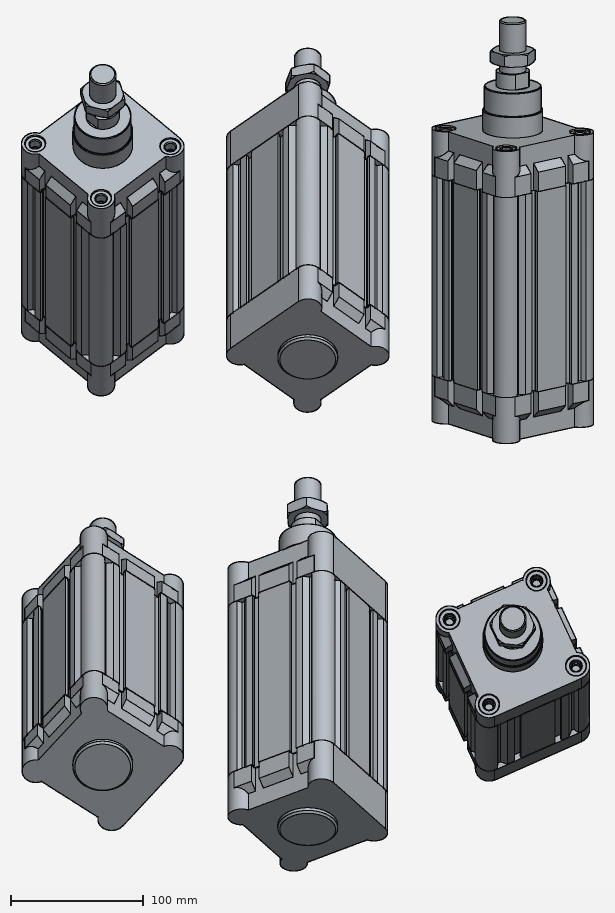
import cadquery as cq
import math

TOTAL_HEIGHT = 318
WIDTH = 93.0
HALF_WIDTH = WIDTH / 2

REAR_CAP_BOTTOM = 4.0
CAP_HEIGHT = 36.0
FRONT_CAP_TOP = 232
COLLAR_STEP_Z = 248.7
COLLAR_TOP = 266.8
ROD_SHOULDER_Z = 278.5
NUT_BOTTOM = 285.2
NUT_HEIGHT = 9.5

REAR_CAP_TOP = REAR_CAP_BOTTOM + CAP_HEIGHT
FRONT_CAP_BOTTOM = FRONT_CAP_TOP - CAP_HEIGHT

CAP_CORE_HALF = 40.7
BOSS_DIAMETER = 20.7
BOSS_OFFSET = 36.0
PAD_HEIGHT = 15.3
PAD_DEPTH = HALF_WIDTH - CAP_CORE_HALF
CENTRE_PAD_HALF = 13.5
SIDE_PAD_INNER = 20.5
SIDE_PAD_OUTER = BOSS_OFFSET

SCREW_RECESS_DIAMETER = 16
SCREW_RECESS_FLOOR_DIAMETER = 15.0
SCREW_RECESS_DEPTH = 1.0
SOCKET_RIM_DIAMETER = 9.5
SOCKET_DIAMETER = 8.0
SOCKET_DEPTH = 8.0
SOCKET_PILOT_DIAMETER = 6.0
SOCKET_PILOT_DEPTH = 3.2

BARREL_HALF_WIDTH = 46.0
BARREL_CORNER_RADIUS = 10.2
SLOT_MOUTH_INNER = 14.0
SLOT_MOUTH_OUTER = 19.5
SLOT_LIP = 2.2
SLOT_UNDERCUT = 1.5
SLOT_DEPTH = 4.5
V_GROOVE_INNER = 25.5
V_GROOVE_OUTER = 33.5
V_GROOVE_DEPTH = 3.8
V_FLOOR_INNER = V_GROOVE_INNER + V_GROOVE_DEPTH
V_FLOOR_OUTER = 31.5

COLLAR_DIAMETER = 45.0
UPPER_COLLAR_DIAMETER = 43.0
COLLAR_CHAMFER = 0.5
REAR_COLLAR_CHAMFER = 1.5

ROD_DIAMETER = 25.0
ROD_FLATS = 22.0
THREAD_DIAMETER = 20.0
THREAD_CHAMFER = 1.0
NUT_FLATS = 30.0
NUT_CORNERS = NUT_FLATS / math.cos(math.radians(30))
NUT_FACE_DIAMETER = 31.2
NUT_CHAMFER_ANGLE = 30


def cylinder(diameter, bottom, top):
    """Cylinder on the Z axis between two heights."""
    return cq.Workplane("XY").workplane(offset=bottom).circle(diameter / 2).extrude(top - bottom)


def box_between(x_min, x_max, y_min, y_max, height):
    """Box standing on Z = 0."""
    return (
        cq.Workplane("XY")
        .rect(x_max - x_min, y_max - y_min)
        .extrude(height)
        .translate(((x_min + x_max) / 2, (y_min + y_max) / 2, 0))
    )


def turned(shape, quarter_turns):
    """Shape turned about the Z axis by a number of quarter turns."""
    return shape.rotate((0, 0, 0), (0, 0, 1), 90 * quarter_turns)


def make_side_pad(x_min, x_max):
    """Raised pad on the -Y face with a 45 degree slope at its top."""
    return (
        cq.Workplane("YZ")
        .moveTo(-CAP_CORE_HALF, 0)
        .lineTo(-HALF_WIDTH, 0)
        .lineTo(-HALF_WIDTH, PAD_HEIGHT)
        .lineTo(-CAP_CORE_HALF, PAD_HEIGHT + PAD_DEPTH)
        .close()
        .extrude(x_max - x_min)
        .translate((x_min, 0, 0))
    )


def make_corner_cylinders(diameter, height):
    """Four cylinders standing on Z = 0 around the tie screw axes."""
    return (
        cq.Workplane("XY")
        .rect(2 * BOSS_OFFSET, 2 * BOSS_OFFSET, forConstruction=True)
        .vertices()
        .circle(diameter / 2)
        .extrude(height)
    )


def make_cap():
    """End cap standing on its joint face at Z = 0; the +Y side is flush and plain."""
    cap = box_between(-CAP_CORE_HALF, CAP_CORE_HALF, -CAP_CORE_HALF, CAP_CORE_HALF, CAP_HEIGHT)
    cap = cap.union(box_between(-BOSS_OFFSET, BOSS_OFFSET, 0, HALF_WIDTH, CAP_HEIGHT))
    cap = cap.union(make_corner_cylinders(BOSS_DIAMETER, CAP_HEIGHT))
    pad_spans = [
        (-SIDE_PAD_OUTER, -SIDE_PAD_INNER),
        (-CENTRE_PAD_HALF, CENTRE_PAD_HALF),
        (SIDE_PAD_INNER, SIDE_PAD_OUTER),
    ]
    for quarter_turns in (-1, 0, 1):
        for x_min, x_max in pad_spans:
            cap = cap.union(turned(make_side_pad(x_min, x_max), quarter_turns))
    return cap


def make_screw_recess():
    """Turned recess and stepped socket of one tie screw, as a cutting tool with its mouth at Z = 0."""
    floor_z = -SCREW_RECESS_DEPTH
    rim_depth = (SOCKET_RIM_DIAMETER - SOCKET_DIAMETER) / 2
    step_z = floor_z - SOCKET_DEPTH
    bottom_z = step_z - SOCKET_PILOT_DEPTH
    return (
        cq.Workplane("XZ")
        .moveTo(0, 0)
        .lineTo(SCREW_RECESS_DIAMETER / 2, 0)
        .lineTo(SCREW_RECESS_FLOOR_DIAMETER / 2, floor_z)
        .lineTo(SOCKET_RIM_DIAMETER / 2, floor_z)
        .lineTo(SOCKET_DIAMETER / 2, floor_z - rim_depth)
        .lineTo(SOCKET_DIAMETER / 2, step_z)
        .lineTo(SOCKET_PILOT_DIAMETER / 2, step_z)
        .lineTo(SOCKET_PILOT_DIAMETER / 2, bottom_z)
        .lineTo(0, bottom_z)
        .close()
        .revolve(360, (0, 0, 0), (0, 1, 0))
    )


def make_barrel_grooves():
    """T-slot and V-groove on the +X half of the -Y face, as one cutting tool."""
    length = FRONT_CAP_BOTTOM - REAR_CAP_TOP
    face = -BARREL_HALF_WIDTH
    mouth = box_between(SLOT_MOUTH_INNER, SLOT_MOUTH_OUTER, face, face + SLOT_LIP, length)
    undercut = box_between(
        SLOT_MOUTH_INNER - SLOT_UNDERCUT,
        SLOT_MOUTH_OUTER + SLOT_UNDERCUT,
        face + SLOT_LIP,
        face + SLOT_DEPTH,
        length,
    )
    v_groove = (
        cq.Workplane("XY")
        .moveTo(V_GROOVE_INNER, face)
        .lineTo(V_FLOOR_INNER, face + V_GROOVE_DEPTH)
        .lineTo(V_FLOOR_OUTER, face + V_GROOVE_DEPTH)
        .lineTo(V_GROOVE_OUTER, face)
        .close()
        .extrude(length)
    )
    return mouth.union(undercut).union(v_groove).translate((0, 0, REAR_CAP_TOP))


def make_barrel():
    """Extruded profile barrel, grooved alike on all four sides."""
    length = FRONT_CAP_BOTTOM - REAR_CAP_TOP
    across = box_between(-BARREL_HALF_WIDTH, BARREL_HALF_WIDTH, -BOSS_OFFSET, BOSS_OFFSET, length)
    corners = make_corner_cylinders(2 * BARREL_CORNER_RADIUS, length)
    barrel = across.union(turned(across, 1)).union(corners).translate((0, 0, REAR_CAP_TOP))
    right_grooves = make_barrel_grooves()
    left_grooves = right_grooves.mirror("YZ")
    for quarter_turns in range(4):
        barrel = barrel.cut(turned(right_grooves, quarter_turns))
        barrel = barrel.cut(turned(left_grooves, quarter_turns))
    return barrel


def make_housing():
    """Barrel, both caps and collars, bored for the piston rod through the front cap."""
    front_cap = make_cap().translate((0, 0, FRONT_CAP_BOTTOM))
    rear_cap = make_cap().mirror("XY").translate((0, 0, REAR_CAP_TOP))
    collar = cylinder(COLLAR_DIAMETER, FRONT_CAP_TOP, COLLAR_STEP_Z).faces(">Z").chamfer(COLLAR_CHAMFER)
    upper_collar = (
        cylinder(UPPER_COLLAR_DIAMETER, FRONT_CAP_TOP, COLLAR_TOP).faces(">Z").chamfer(COLLAR_CHAMFER)
    )
    rear_collar = (
        cylinder(COLLAR_DIAMETER, 0, REAR_CAP_BOTTOM).faces("<Z").chamfer(REAR_COLLAR_CHAMFER)
    )
    housing = make_barrel()
    for section in (front_cap, rear_cap, collar, upper_collar, rear_collar):
        housing = housing.union(section)
    rod_bore = cylinder(ROD_DIAMETER, FRONT_CAP_BOTTOM, COLLAR_TOP)
    housing = housing.cut(rod_bore)
    screw_recess = make_screw_recess().translate((BOSS_OFFSET, BOSS_OFFSET, FRONT_CAP_TOP))
    for quarter_turns in range(4):
        housing = housing.cut(turned(screw_recess, quarter_turns))
    return housing


def make_piston_rod():
    """Rod with two wrench flats facing -Y and +Y above the collar, and a thinner threaded end."""
    rod = cylinder(ROD_DIAMETER, FRONT_CAP_BOTTOM, COLLAR_TOP)
    wrench_section = cylinder(ROD_DIAMETER, COLLAR_TOP, ROD_SHOULDER_Z).intersect(
        cq.Workplane("XY").rect(ROD_DIAMETER, ROD_FLATS).extrude(TOTAL_HEIGHT)
    )
    threaded_end = (
        cylinder(THREAD_DIAMETER, ROD_SHOULDER_Z, TOTAL_HEIGHT).faces(">Z").chamfer(THREAD_CHAMFER)
    )
    return rod.union(wrench_section).union(threaded_end)


def make_nut():
    """Hexagon nut with corners at -Y and +Y, its tips turned to a cone at both ends."""
    hexagon = (
        cq.Workplane("XY")
        .polygon(6, NUT_CORNERS)
        .extrude(NUT_HEIGHT)
        .rotate((0, 0, 0), (0, 0, 1), 90)
    )
    radial_chamfer = (NUT_CORNERS - NUT_FACE_DIAMETER) / 2
    axial_chamfer = radial_chamfer * math.tan(math.radians(NUT_CHAMFER_ANGLE))
    turned_blank = (
        cq.Workplane("XY")
        .circle(NUT_CORNERS / 2)
        .extrude(NUT_HEIGHT)
        .faces("<Z or >Z")
        .chamfer(axial_chamfer, radial_chamfer)
    )
    thread_hole = cylinder(THREAD_DIAMETER, 0, NUT_HEIGHT)
    return hexagon.intersect(turned_blank).cut(thread_hole).translate((0, 0, NUT_BOTTOM))


housing = make_housing()
piston_rod = make_piston_rod()
nut = make_nut()

result = cq.Compound.makeCompound(
    [*housing.solids().vals(), *piston_rod.solids().vals(), *nut.solids().vals()]
)